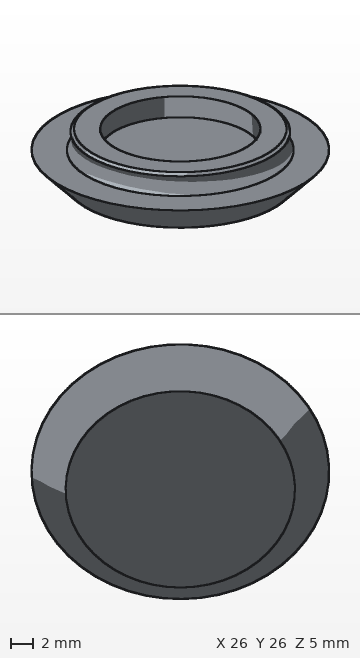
import cadquery as cq

total_height = 5.0
flange_radius = 13.0
flange_height = 3.0
bottom_radius = flange_radius - flange_height

collar_base_radius = 9.9
groove_radius = 9.39
groove_z = 4.03
lip_radius = 9.6
lip_chamfer_height = 0.25
lip_chamfer_width = 0.3

pocket_diameter = 14.0
pocket_depth = total_height - flange_height


def make_body():
    """Revolve the half section (radius, z) about the Z axis."""
    section = (
        cq.Workplane("XZ")
        .lineTo(bottom_radius, 0)
        .lineTo(flange_radius, flange_height)
        .lineTo(collar_base_radius, flange_height)
        .threePointArc((groove_radius, groove_z), (lip_radius, total_height - lip_chamfer_height))
        .lineTo(lip_radius - lip_chamfer_width, total_height)
        .lineTo(0, total_height)
        .close()
    )
    return section.revolve(360, (0, 0, 0), (0, 1, 0))


def cut_pocket(body):
    """Sink the round pocket from the top face."""
    return body.faces(">Z").workplane().circle(pocket_diameter / 2).cutBlind(-pocket_depth)


result = cut_pocket(make_body())